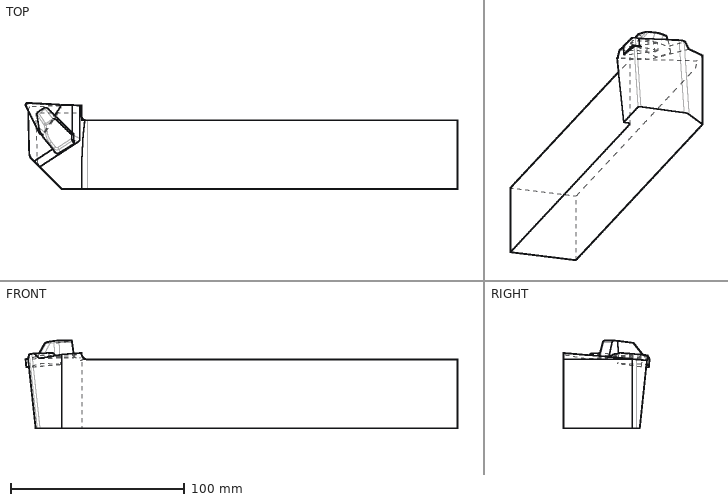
import cadquery as cq
import math

LENGTH = 249.5
SHANK = 40.0

NOSE_Y = 50.0
HEAD_END = 32.5
HEAD_TOP = 50.0
RELIEF = math.tan(math.radians(6.0))
FRONT_X = 1.37
SIDE_Y = 48.5
FRONT_SKEW = math.tan(math.radians(2.0))
BEVEL = 21.0
BEVEL_ANGLE = math.radians(45.0)
FRONT_ROUND = 5.2
NOSE_ROUND = 1.2
TOP_FILLET = 3.2
SIDE_FILLET = 2.2

RISE_X = 0.085
RISE_Y = -0.09
SLOPE_NORMAL = (-RISE_X, -RISE_Y, 1.0)
STEP_DROP = 3.5
STEP_WIDTH = 4.5
STEP_CREST = (14.7, 22.5)
STEP_ANGLE = 33.0
STEP_ROUND = 3.7
BACK_CREST_X = 27.0

INSERT_SIDE = 22.0
INSERT_NOSE = 1.2
INSERT_THICKNESS = 4.7
INSERT_ANGLE = math.radians(-3.0)

CLAMP_TOP = 51.0
CLAMP_BASE = 41.2
CLAMP_HEEL = (17.2, 19.2)
CLAMP_HEEL_DRAFT = 14.0
CLAMP_BREAK = 18.5
CLAMP_NOSE_Z = 49.5
CLAMP_HEEL_ROUND = 2.2
CLAMP_TOP_ROUND = 1.2
CLAMP_FLANK_ROUND = 8.7
CLAMP_NOSE_ROUND = 1.5
CLAMP_WALLS = [
    (7.2, 37.5, 186.0, 25.0),
    (12.2, 27.2, 218.0, 7.0),
    (20.5, 39.5, 46.5, 9.0),
    (28.2, 30.0, 0.0, 8.0),
]

FRONT_EDGE = (3.7, 17.5, 20.0)
NOSE_EDGE = (3.2, 46.2, 20.0)
STEP_EDGE = (29.7, 29.0, 42.2)
CLAMP_FLANK_EDGE = (10.2, 30.0, 45.7)
CLAMP_HEEL_EDGE = (17.2, 20.7, 45.2)
CLAMP_TOP_EDGE = (22.0, 25.7, 51.0)
CLAMP_NOSE_LEFT_EDGE = (8.7, 41.0, 45.2)
CLAMP_NOSE_RIGHT_EDGE = (13.7, 44.2, 45.2)

BIG = 149.7


def beyond(origin, normal):
    """Block filling the space on the normal's side of a plane."""
    return cq.Workplane(cq.Plane(origin=origin, normal=normal)).rect(BIG, BIG).extrude(BIG)


def near(point):
    """Selector for the edge whose middle is closest to a point."""
    return cq.selectors.NearestToPointSelector(point)


def slope_height(x, y):
    """Height of the upper slope, which passes through the cutting nose."""
    return SHANK + RISE_X * x + RISE_Y * (y - NOSE_Y)


def above_slope(drop=0.0):
    """Block above the upper slope, or above the parallel plane a given drop below it."""
    return beyond((0, NOSE_Y, SHANK - drop), SLOPE_NORMAL)


def head_blank():
    """Head with its leaning walls, bevel and upright rounds, before the tops are cut."""
    blank = cq.Workplane().box(HEAD_END, NOSE_Y, HEAD_TOP, centered=False)
    blank = blank.cut(beyond((FRONT_X, NOSE_Y, SHANK), (-1, -FRONT_SKEW, -RELIEF)))
    blank = blank.cut(beyond((0, SIDE_Y, SHANK), (0, 1, -RELIEF)))
    blank = blank.cut(beyond((BEVEL, 0, 0), (-math.sin(BEVEL_ANGLE), -math.cos(BEVEL_ANGLE), 0)))
    blank = blank.edges(near(FRONT_EDGE)).fillet(FRONT_ROUND)
    return blank.edges(near(NOSE_EDGE)).fillet(NOSE_ROUND)


def step_normal(facing):
    """Outward normal of a step face that falls away from the upper slope in a plan direction."""
    away = math.radians(facing)
    fall = STEP_DROP / STEP_WIDTH
    return (fall * math.cos(away) - RISE_X, fall * math.sin(away) - RISE_Y, 1.0)


def raised_seat(blank):
    """Upper level of the head, bounded by two slanted step faces with a rounded corner."""
    x, y = STEP_CREST
    crest = (x, y, slope_height(x, y))
    back_crest = (BACK_CREST_X, NOSE_Y, slope_height(BACK_CREST_X, NOSE_Y))
    seat = blank.cut(above_slope())
    seat = seat.cut(beyond(crest, step_normal(STEP_ANGLE - 90)))
    seat = seat.cut(beyond(back_crest, step_normal(0)))
    return seat.edges(near(STEP_EDGE)).fillet(STEP_ROUND)


def shoulder_fillets():
    """Concave fillets from the head's shoulder to the shank top and to the shank side."""
    top = (
        cq.Workplane("XZ", origin=(HEAD_END, 0, SHANK))
        .lineTo(TOP_FILLET, 0)
        .radiusArc((0, TOP_FILLET), TOP_FILLET)
        .close()
        .extrude(-SHANK)
        .cut(above_slope(STEP_DROP))
    )
    side = (
        cq.Workplane(origin=(HEAD_END, SHANK, 0))
        .lineTo(SIDE_FILLET, 0)
        .radiusArc((0, SIDE_FILLET), SIDE_FILLET)
        .close()
        .extrude(SHANK)
        .cut(above_slope(STEP_DROP))
    )
    return top.union(side)


def clamp_profile():
    """Side profile of the clamp, swept across its full width."""
    along = math.radians(STEP_ANGLE + 90)
    heel = cq.Plane(
        origin=(*CLAMP_HEEL, 0),
        xDir=(math.cos(along), math.sin(along), 0),
        normal=(math.sin(along), -math.cos(along), 0),
    )
    lean = (CLAMP_TOP - CLAMP_BASE) * math.tan(math.radians(CLAMP_HEEL_DRAFT))
    nose_drop = CLAMP_NOSE_Z - CLAMP_BASE
    return (
        cq.Workplane(heel)
        .moveTo(0, CLAMP_BASE)
        .lineTo(lean, CLAMP_TOP)
        .lineTo(CLAMP_BREAK, CLAMP_NOSE_Z)
        .lineTo(CLAMP_BREAK + nose_drop, CLAMP_BASE)
        .close()
        .extrude(BIG / 2, both=True)
    )


def build_clamp():
    """Clamp finger trimmed by its drafted side walls; it is one piece with the holder."""
    body = clamp_profile()
    for x, y, facing, draft in CLAMP_WALLS:
        out = math.radians(facing)
        normal = (math.cos(out), math.sin(out), math.tan(math.radians(draft)))
        body = body.cut(beyond((x, y, CLAMP_BASE), normal))
    body = body.edges(near(CLAMP_FLANK_EDGE)).fillet(CLAMP_FLANK_ROUND)
    body = body.edges(near(CLAMP_HEEL_EDGE)).fillet(CLAMP_HEEL_ROUND)
    body = body.edges(near(CLAMP_TOP_EDGE)).fillet(CLAMP_TOP_ROUND)
    nose_edges = near(CLAMP_NOSE_LEFT_EDGE) + near(CLAMP_NOSE_RIGHT_EDGE)
    return body.edges(nose_edges).fillet(CLAMP_NOSE_ROUND)


def build_insert():
    """Triangular insert with its main edge facing +Y and its nose at the -X, +Y corner."""
    edge = (math.cos(INSERT_ANGLE), math.sin(INSERT_ANGLE))
    x, y = INSERT_NOSE, NOSE_Y - INSERT_NOSE
    top = cq.Plane(
        origin=(x, y, slope_height(x, y)),
        xDir=(edge[0], edge[1], RISE_X * edge[0] + RISE_Y * edge[1]),
        normal=SLOPE_NORMAL,
    )
    span = INSERT_SIDE - 2 * math.sqrt(3) * INSERT_NOSE
    return (
        cq.Workplane(top)
        .polyline([(0, 0), (span, 0), (span / 2, -span * math.sqrt(3) / 2)])
        .close()
        .offset2D(INSERT_NOSE)
        .extrude(-INSERT_THICKNESS)
    )


def build_holder(insert):
    """Head, shank and clamp in one solid, with a pocket that matches the insert."""
    blank = head_blank()
    holder = blank.cut(above_slope(STEP_DROP)).union(raised_seat(blank))
    shank = cq.Workplane(origin=(HEAD_END, 0, 0)).box(LENGTH - HEAD_END, SHANK, SHANK, centered=False)
    return holder.union(shank).union(shoulder_fillets()).union(build_clamp()).cut(insert)


insert = build_insert()
holder = build_holder(insert)
result = cq.Compound.makeCompound([holder.solids().val(), insert.val()])